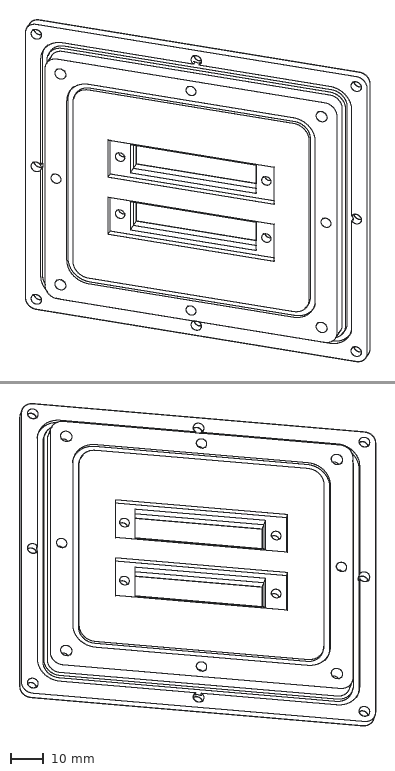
import cadquery as cq

COVER_WIDTH = 110
COVER_HEIGHT = 100.0
COVER_THICKNESS = 3.0
COVER_CORNER_RADIUS = 3.5
COVER_HOLE_DIAMETER = 3.3
COVER_HOLE_INSET = 3.5

COVER_GROOVE_WIDTH = 100.1
COVER_GROOVE_HEIGHT = 90.1
COVER_GROOVE_CORNER_RADIUS = 7.0
COVER_GROOVE_BREADTH = 2.0
COVER_GROOVE_DEPTH = 1.5

RAISED_WIDTH = 93.9
RAISED_HEIGHT = 84.0
RAISED_THICKNESS = 5.1
RAISED_CORNER_RADIUS = 4.0
RAISED_CORNER_HOLE_DIAMETER = 3.5
RAISED_CORNER_HOLE_X = 42.0
RAISED_CORNER_HOLE_Z = 37.0
RAISED_MIDDLE_HOLE_DIAMETER = 3.2
RAISED_MIDDLE_HOLE_X = 43.5
RAISED_MIDDLE_HOLE_Z = 38.5

RAISED_GROOVE_WIDTH = 80.0
RAISED_GROOVE_HEIGHT = 70.0
RAISED_GROOVE_CORNER_RADIUS = 7.0
RAISED_GROOVE_BREADTH = 2.0
RAISED_GROOVE_DEPTH = 1.2

PORT_CENTRES_Z = (10.0, -10.0)
PORT_POCKET_WIDTH = 53.5
PORT_POCKET_HEIGHT = 13.0
PORT_POCKET_DEPTH = 2.1
PORT_WINDOW_WIDTH = 40.5
PORT_WINDOW_HEIGHT = 9.9
PORT_SCREW_DIAMETER = 3.0
PORT_SCREW_X = 23.5

BACK_Y = 0
JOINT_Y = BACK_Y - COVER_THICKNESS
FRONT_Y = JOINT_Y - RAISED_THICKNESS


def block(width, height, front_y, depth, centre_z=0):
    """Box centred on X whose front face is at front_y and which runs back along +Y."""
    return (
        cq.Workplane("XY")
        .box(width, depth, height, centered=(True, False, True))
        .translate((0, front_y, centre_z))
    )


def rounded_block(width, height, corner_radius, front_y, depth):
    return block(width, height, front_y, depth).edges("|Y").fillet(corner_radius)


def drills(points, diameter, front_y, depth):
    """Cylinders along Y at the given (x, z) points."""
    return (
        cq.Workplane("XZ", origin=(0, front_y, 0))
        .pushPoints(points)
        .circle(diameter / 2)
        .extrude(-depth)
    )


def seal_groove(width, height, corner_radius, breadth, front_y, depth):
    """Rounded rectangular ring; width and height are those of its outer wall."""
    outer = rounded_block(width, height, corner_radius, front_y, depth)
    inner = rounded_block(
        width - 2 * breadth, height - 2 * breadth, corner_radius - breadth, front_y, depth
    )
    return outer.cut(inner)


def corner_points(x, z):
    return [(sx * x, sz * z) for sx in (-1, 1) for sz in (-1, 1)]


def middle_points(x, z):
    return [(-x, 0), (x, 0), (0, -z), (0, z)]


def cut_ports(body):
    """Cut the recess, window and screw holes of both ports out of a body."""
    depth = BACK_Y - FRONT_Y
    for z in PORT_CENTRES_Z:
        pocket = block(PORT_POCKET_WIDTH, PORT_POCKET_HEIGHT, FRONT_Y, PORT_POCKET_DEPTH, z)
        window = block(PORT_WINDOW_WIDTH, PORT_WINDOW_HEIGHT, FRONT_Y, depth, z)
        screws = drills([(-PORT_SCREW_X, z), (PORT_SCREW_X, z)], PORT_SCREW_DIAMETER, FRONT_Y, depth)
        body = body.cut(pocket).cut(window).cut(screws)
    return body


def make_cover():
    cover = rounded_block(
        COVER_WIDTH, COVER_HEIGHT, COVER_CORNER_RADIUS, JOINT_Y, COVER_THICKNESS
    )
    groove = seal_groove(
        COVER_GROOVE_WIDTH,
        COVER_GROOVE_HEIGHT,
        COVER_GROOVE_CORNER_RADIUS,
        COVER_GROOVE_BREADTH,
        JOINT_Y,
        COVER_GROOVE_DEPTH,
    )
    hole_x = COVER_WIDTH / 2 - COVER_HOLE_INSET
    hole_z = COVER_HEIGHT / 2 - COVER_HOLE_INSET
    hole_points = corner_points(hole_x, hole_z) + middle_points(hole_x, hole_z)
    holes = drills(hole_points, COVER_HOLE_DIAMETER, JOINT_Y, COVER_THICKNESS)
    return cut_ports(cover.cut(groove).cut(holes))


def make_raised_plate():
    plate = rounded_block(
        RAISED_WIDTH, RAISED_HEIGHT, RAISED_CORNER_RADIUS, FRONT_Y, RAISED_THICKNESS
    )
    groove = seal_groove(
        RAISED_GROOVE_WIDTH,
        RAISED_GROOVE_HEIGHT,
        RAISED_GROOVE_CORNER_RADIUS,
        RAISED_GROOVE_BREADTH,
        FRONT_Y,
        RAISED_GROOVE_DEPTH,
    )
    corner_holes = drills(
        corner_points(RAISED_CORNER_HOLE_X, RAISED_CORNER_HOLE_Z),
        RAISED_CORNER_HOLE_DIAMETER,
        FRONT_Y,
        RAISED_THICKNESS,
    )
    middle_holes = drills(
        middle_points(RAISED_MIDDLE_HOLE_X, RAISED_MIDDLE_HOLE_Z),
        RAISED_MIDDLE_HOLE_DIAMETER,
        FRONT_Y,
        RAISED_THICKNESS,
    )
    return cut_ports(plate.cut(groove).cut(corner_holes).cut(middle_holes))


cover = make_cover()
raised_plate = make_raised_plate()
result = cq.Compound.makeCompound([cover.val(), raised_plate.val()])